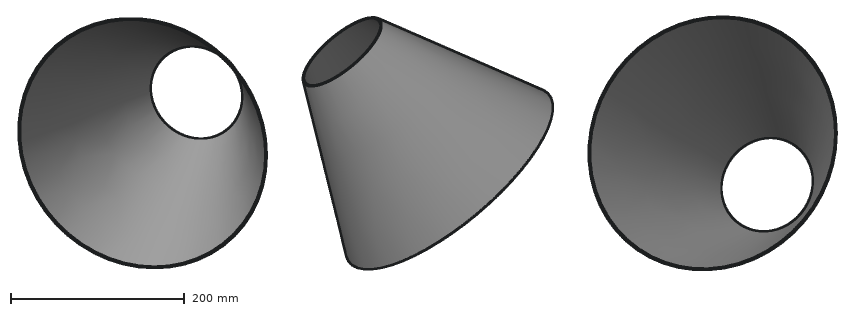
import cadquery as cq

large_diameter = 300.0
small_diameter = 114.3
length = 203.0
radial_wall = 2.0

large_radius = large_diameter / 2
small_radius = small_diameter / 2


def cone_shell():
    """Open conical reducer around the Y axis, with its large end at Y = 0."""
    wall_section = [
        (large_radius - radial_wall, 0),
        (large_radius, 0),
        (small_radius, length),
        (small_radius - radial_wall, length),
    ]
    return cq.Workplane("XY").polyline(wall_section).close().revolve(360, (0, 0, 0), (0, 1, 0))


result = cone_shell()